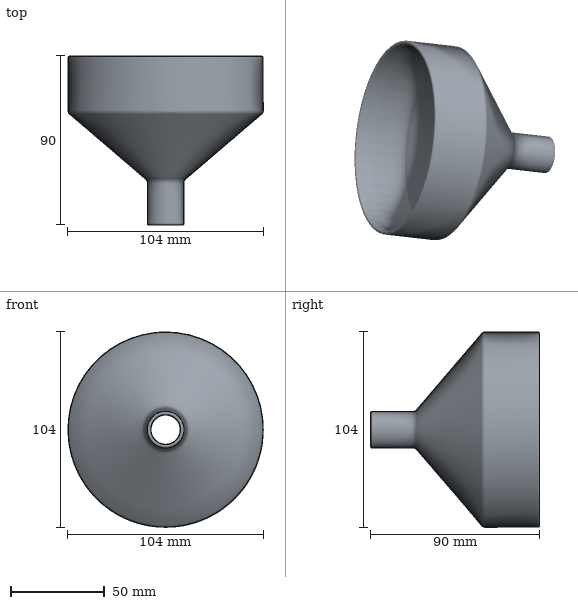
import cadquery as cq
import math

mouth_radius = 52.0
total_length = 90.0
rim_length = 30.1
spout_length = 23.8
spout_radius = 9.8
wall = 2.0
bend_radius = 2.0

lip_radius = wall / 2
spout_end = -total_length / 2
mouth_end = total_length / 2
neck_y = spout_end + spout_length
shoulder_y = mouth_end - rim_length
spout_lip_y = spout_end + lip_radius
mouth_lip_y = mouth_end - lip_radius

cone_angle = math.atan2(mouth_radius - spout_radius, shoulder_y - neck_y)
corner_shift = wall * math.tan(cone_angle / 2)


def funnel_shell():
    """Wall section, drawn as (y, radius) points, revolved about Y."""
    return (
        cq.Workplane("YZ")
        .moveTo(spout_lip_y, spout_radius)
        .lineTo(neck_y, spout_radius)
        .lineTo(shoulder_y, mouth_radius)
        .lineTo(mouth_lip_y, mouth_radius)
        .threePointArc((mouth_end, mouth_radius - lip_radius), (mouth_lip_y, mouth_radius - wall))
        .lineTo(shoulder_y + corner_shift, mouth_radius - wall)
        .lineTo(neck_y + corner_shift, spout_radius - wall)
        .lineTo(spout_lip_y, spout_radius - wall)
        .threePointArc((spout_end, spout_radius - lip_radius), (spout_lip_y, spout_radius))
        .close()
        .revolve(360, (0, 0, 0), (1, 0, 0))
    )


def round_outer_bend(body, y, radius):
    """Fillet the circular outer edge of the given radius at position y."""
    tolerance = 0.01
    reach = 2 * radius
    edge = cq.selectors.BoxSelector(
        (-reach, y - tolerance, -reach),
        (reach, y + tolerance, reach),
        boundingbox=True,
    )
    return body.edges(edge).fillet(bend_radius)


result = funnel_shell()
result = round_outer_bend(result, shoulder_y, mouth_radius)
result = round_outer_bend(result, neck_y, spout_radius)